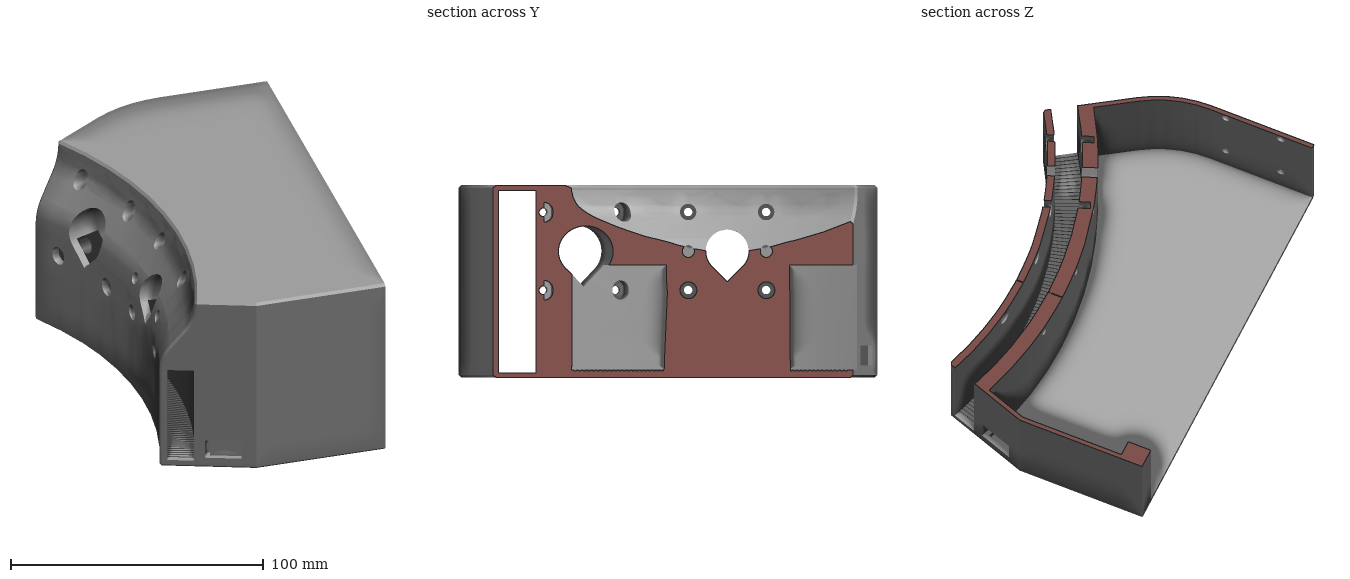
import cadquery as cq
import math

length = 166.0
height = 76.0
left_x = -106.5
right_x = left_x + length
wall = 2.0
overrun = 1.7
edge_chamfer = 1.0

axis_y = -221.5
front_radius = 140.0
left_angle = 33.4
right_angle = 19.5
left_blend_radius = 52.1
front_wall_back_radius = 160.0

step_depth = 14.0
step_bottom_z = 43.8
step_top_z = 74.2
step_slope_angle = 37.6
step_arc_radius = 18.0

channel_inner_radius = 143.1
channel_outer_radius = 153.7
channel_bottom_z = 3.2
channel_top_z = 44.5
channel_groove_angle = 0.32
channel_groove_depth = 0.5

camera_z = 50.0
screw_spacing = 30.9
screw_diameter = 3.3
counterbore_diameter = 6.5
counterbore_floor = 157.7
turned_camera_angle = 21.7
straight_lens_radius = 8.5
turned_lens_radius = 10.0
turned_counterbore_height = 7.6
pin_hole_diameter = 4.6
pin_hole_end = 146.1
cut_start_radius = front_radius - 16.6

fan_y = -25.5
fan_z = 23.9
fan_screw_spacing = 23.9
fan_screw_diameter = 3.2
grille_apothem = 12.0
grille_side_groove = 0.8
grille_bar_groove = 0.5
grille_depth = 0.7

cable_radius_start = 158.0
cable_radius_end = 172.7
cable_bottom_z = 4.6
cable_top_z = 12.6

post_width = 7.6
post_depth = 10.0


def polar(radius, angle):
    """Plan point at a distance from the sweep axis, angle in degrees from +Y toward +X."""
    a = math.radians(angle)
    return radius * math.sin(a), axis_y + radius * math.cos(a)


def body_block(rear_y, inset, bottom_z, top_z):
    """Wedge-sided block reaching forward to the sweep axis, drawn in by an inset all round."""
    left_corner_y = axis_y - left_x / math.tan(math.radians(left_angle))
    right_corner_y = axis_y + right_x / math.tan(math.radians(right_angle))
    outline = cq.Workplane("XY").polyline(
        [
            (left_x, rear_y),
            (left_x, left_corner_y),
            (0, axis_y),
            (right_x, right_corner_y),
            (right_x, rear_y),
        ]
    ).close()
    block = outline.extrude(top_z - bottom_z).translate((0, 0, bottom_z))
    corner = cq.selectors.NearestToPointSelector((left_x, left_corner_y, (bottom_z + top_z) / 2))
    block = block.edges(corner).fillet(left_blend_radius)
    if inset:
        outline = block.faces("<Z").wires().toPending().offset2D(-inset)
        block = outline.extrude(top_z - bottom_z, combine=False)
    return block


def ring(inner_radius, outer_radius, bottom_z, top_z):
    """Ring or, with no inner radius, a disc about the sweep axis."""
    sketch = cq.Workplane("XY").center(0, axis_y).circle(outer_radius)
    if inner_radius:
        sketch = sketch.circle(inner_radius)
    return sketch.extrude(top_z - bottom_z).translate((0, 0, bottom_z))


def front_clearance():
    """Revolved space ahead of the front face, with the S-shaped step."""
    slope = math.radians(step_slope_angle)

    def arc_offset(angle):
        return step_arc_radius * (1 - math.cos(angle)), step_arc_radius * math.sin(angle)

    half_run, half_rise = arc_offset(slope / 2)
    run, rise = arc_offset(slope)
    top_radius = front_radius + step_depth
    profile = (
        cq.Workplane("XZ")
        .moveTo(0, -overrun)
        .lineTo(front_radius, -overrun)
        .lineTo(front_radius, step_bottom_z)
        .threePointArc(
            (front_radius + half_run, step_bottom_z + half_rise),
            (front_radius + run, step_bottom_z + rise),
        )
        .lineTo(top_radius - run, step_top_z - rise)
        .threePointArc((top_radius - half_run, step_top_z - half_rise), (top_radius, step_top_z))
        .lineTo(top_radius, height + overrun)
        .lineTo(0, height + overrun)
        .close()
    )
    return profile.revolve(360, (0, 0, 0), (0, 1, 0)).translate((0, axis_y, 0))


def is_outer_rim(edge):
    """True for the edges round the front, sides, top and bottom that carry the chamfer."""
    box = edge.BoundingBox()
    on_rear = box.ymin > -0.02
    flat_rim = box.zmax - box.zmin < 0.02 and (box.zmin < 0.02 or box.zmax > height - 0.02)
    mid = edge.positionAt(0.5)
    end_angle = math.degrees(math.atan2(mid.x, mid.y - axis_y))
    radius = math.hypot(mid.x, mid.y - axis_y)
    at_end = min(abs(end_angle + left_angle), abs(end_angle - right_angle)) < 0.01
    front_end = at_end and radius < front_radius + step_depth + 0.02
    return not on_rear and (flat_rim or front_end)


def outer_shape():
    """Chamfered solid outside form."""
    shape = body_block(0, 0, 0, height).cut(front_clearance())
    rim = [edge for edge in shape.edges().vals() if is_outer_rim(edge)]
    return shape.newObject(rim).chamfer(edge_chamfer)


def cavity():
    """Interior, open at the rear."""
    space = body_block(2 * wall, wall, wall, height - wall)
    return space.cut(ring(0, front_wall_back_radius, 0, height))


def channel():
    """Curved slot concentric with the front, running out of both slanted sides."""
    return ring(channel_inner_radius, channel_outer_radius, channel_bottom_z, channel_top_z)


def channel_floor_grooves():
    """Fine radial grooves across the channel floor, as wide as the ridges between them."""
    pitch = 2 * channel_groove_angle
    width = channel_inner_radius * math.radians(channel_groove_angle)
    count = int((left_angle + right_angle) / pitch) - 1
    run = channel_outer_radius - channel_inner_radius
    groove = cq.Workplane("XY").box(width, run, channel_groove_depth)
    mid_radius = (channel_inner_radius + channel_outer_radius) / 2
    groove = groove.translate((0, axis_y + mid_radius, channel_bottom_z - channel_groove_depth / 2))
    grooves = []
    for i in range(count):
        turn = left_angle - (i + 1) * pitch
        grooves.append(groove.rotate((0, axis_y, 0), (0, axis_y, 1), turn).val())
    return cq.Workplane("XY").newObject([cq.Compound.makeCompound(grooves)])


def axis_plane(distance):
    """Upright plane across the straight camera's line of sight, local Y up, at camera height."""
    return cq.Workplane("XZ", origin=(0, axis_y + distance, camera_z))


def toward_rear(sketch, depth):
    """Extrude a sketch on an axis plane away from the sweep axis."""
    return sketch.extrude(-depth)


def camera_cut(angle, lens_radius, counterbore_height):
    """Lens opening and screw holes of one camera, turned about the sweep axis."""
    through = front_wall_back_radius + overrun - cut_start_radius
    lens = toward_rear(axis_plane(cut_start_radius).circle(lens_radius), through)
    half = lens_radius * math.sqrt(0.5)
    tip = [(-half, -half), (half, -half), (0, -2 * half)]
    lens = lens.union(toward_rear(axis_plane(cut_start_radius).polyline(tip).close(), through))
    square = axis_plane(cut_start_radius).rect(screw_spacing, screw_spacing, forConstruction=True)
    corners = square.vertices()
    screws = toward_rear(corners.circle(screw_diameter / 2), through)
    if counterbore_height > counterbore_diameter:
        mouths = corners.slot2D(counterbore_height, counterbore_diameter, 90)
    else:
        mouths = corners.circle(counterbore_diameter / 2)
    counterbores = toward_rear(mouths, counterbore_floor - cut_start_radius)
    return lens.union(screws).union(counterbores).rotate((0, axis_y, 0), (0, axis_y, 1), angle)


def pin_holes():
    """Blind holes level with the lens of the straight camera."""
    points = [(-screw_spacing / 2, 0), (screw_spacing / 2, 0)]
    circles = axis_plane(cut_start_radius).pushPoints(points).circle(pin_hole_diameter / 2)
    return toward_rear(circles, pin_hole_end - cut_start_radius)


def left_wall_plane():
    """Plane on the left wall; local X runs toward the front, local Y up."""
    return cq.Workplane(cq.Plane((left_x, fan_y, fan_z), (0, -1, 0), (-1, 0, 0)))


def fan_screw_holes():
    """Four holes through the left wall."""
    square = left_wall_plane().rect(fan_screw_spacing, fan_screw_spacing, forConstruction=True)
    return square.vertices().circle(fan_screw_diameter / 2).extrude(-2 * wall)


def grille_groove():
    """Shallow hexagonal groove with a bar across it, left between two trapezoid panels."""
    corner = 2 * grille_apothem / math.sqrt(3)
    groove = left_wall_plane().polygon(6, 2 * corner).extrude(-grille_depth)
    side_shift = grille_side_groove / math.cos(math.radians(30))
    panel_bottom = grille_bar_groove / 2
    panel_top = grille_apothem - grille_bar_groove

    def half_width(v):
        return corner - side_shift - v / math.sqrt(3)

    for side in (1, -1):
        panel = [
            (-half_width(panel_bottom), side * panel_bottom),
            (half_width(panel_bottom), side * panel_bottom),
            (half_width(panel_top), side * panel_top),
            (-half_width(panel_top), side * panel_top),
        ]
        groove = groove.cut(left_wall_plane().polyline(panel).close().extrude(-grille_depth))
    return groove


def cable_opening():
    """Rectangular opening square to the right slanted wall."""
    cut_depth = 4 * wall
    size = (cut_depth, cable_radius_end - cable_radius_start, cable_top_z - cable_bottom_z)
    x, y = polar((cable_radius_start + cable_radius_end) / 2, right_angle)
    box = cq.Workplane("XY").box(*size).rotate((0, 0, 0), (0, 0, 1), -right_angle)
    return box.translate((x, y, (cable_bottom_z + cable_top_z) / 2))


def rear_post():
    """Corner post sunk halfway into the right wall so that the two join."""
    post = cq.Workplane("XY").box(post_width, post_depth, height - 2 * wall, centered=False)
    return post.translate((right_x - wall - post_width + wall / 2, -post_depth, wall))


result = outer_shape().cut(cavity()).union(rear_post())
result = result.cut(channel()).cut(channel_floor_grooves())
result = result.cut(camera_cut(0, straight_lens_radius, counterbore_diameter))
result = result.cut(camera_cut(turned_camera_angle, turned_lens_radius, turned_counterbore_height))
result = result.cut(pin_holes())
result = result.cut(fan_screw_holes()).cut(grille_groove())
result = result.cut(cable_opening())